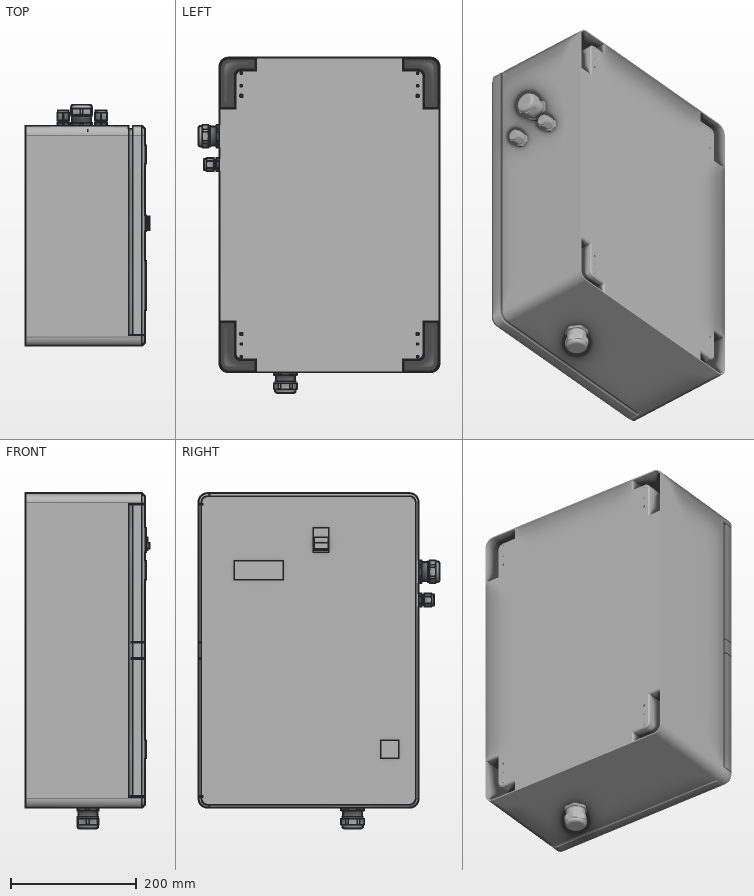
import cadquery as cq
import math

BOX_DEPTH = 190.0
BOX_WIDTH = 350.0
BOX_HEIGHT = 500.0
CORNER_RADIUS = 15.0
LID_CHAMFER = 5.0
HALF_WIDTH = BOX_WIDTH / 2
HALF_HEIGHT = BOX_HEIGHT / 2

GROOVE_START = 164.0
GROOVE_WIDTH = 6.0
GROOVE_DEPTH = 5.0
LID_START = GROOVE_START + GROOVE_WIDTH
HINGE_COLUMN = 17.0
SLIT_WIDTH = 2.0
END_SLIT_WIDTH = 1.0
SLIT_DEPTH = 7.0
HINGE_TAB_HEIGHT = 26.0
SHORT_SLIT_START = LID_START - 2.0
SHORT_SLIT_END = BOX_DEPTH - 3.0

POCKET_DEPTH = 99.0
POCKET_Y_REACH = 57.0
POCKET_Z_REACH = 79.5
POCKET_Y_LEG = 24.5
POCKET_Z_LEG = 19.0
POCKET_INNER_RADIUS = 10.0
POCKET_WALL = 1.9
HINGE_SIDE_WALL = 2.5
MOUTH_CHAMFER = 1.8
MOUTH_ANGLE = 45.0

HOLE_Y_INSET = 35.0
BACK_HOLES = [(25.0, 3.0), (45.0, 3.0), (61.0, 4.5)]
BACK_HOLE_DEPTH = 10.0

LARGE_GLAND_LENGTH = 33.25
BOTTOM_GLAND_LENGTH = 33.05
LARGE_GLAND_X = 89.0
LARGE_GLAND_Z = 125.0
BOTTOM_GLAND_X = 99.0
BOTTOM_GLAND_Y = 70.0
SMALL_GLAND_LENGTH = 24.5
SMALL_GLAND_SPACING = 60.0
SMALL_GLAND_X = 90.0
SMALL_GLAND_Z = 80.0
NUT_CHAMFER_SLOPE = 0.4
GLAND_ROOT = 1.0

PLATE_THICKNESS = 1.9
LONG_PLATE = (-79.0, 127.5, 78.0, 30.0)
SMALL_PLATE = (129.0, -157.0, 29.0, 29.0)
LATCH_BASE = (20.0, 175.5, 25.0, 39.0)
LATCH_WIDTH = 22.0
LATCH_TOP_Z = 180.0
LATCH_BOTTOM_Z = 159.0
LATCH_GRIP_TOP_Z = 171.0
LATCH_GRIP_BOTTOM_Z = 161.5
LATCH_STEP = 4.0
LATCH_RISE = 7.04


def block(x_range, y_range, z_range):
    """Axis-aligned block between three pairs of limits."""
    (x0, x1), (y0, y1), (z0, z1) = x_range, y_range, z_range
    return cq.Workplane("XY").box(x1 - x0, y1 - y0, z1 - z0, centered=False).translate((x0, y0, z0))


def enclosure():
    """Rounded box with a chamfered lid face."""
    box = cq.Workplane("YZ").rect(BOX_WIDTH, BOX_HEIGHT).extrude(BOX_DEPTH)
    return box.edges("|X").fillet(CORNER_RADIUS).faces(">X").edges().chamfer(LID_CHAMFER)


def lid_groove():
    """Groove around the box that leaves the two -Y corners solid."""
    groove = cq.Workplane("YZ", origin=(GROOVE_START, 0, 0)).rect(BOX_WIDTH, BOX_HEIGHT).extrude(GROOVE_WIDTH)
    core = (
        cq.Workplane("YZ", origin=(GROOVE_START, 0, 0))
        .rect(BOX_WIDTH - 2 * GROOVE_DEPTH, BOX_HEIGHT - 2 * GROOVE_DEPTH)
        .extrude(GROOVE_WIDTH)
        .edges("|X")
        .fillet(CORNER_RADIUS - GROOVE_DEPTH)
    )
    groove = groove.cut(core)
    for end in (-1, 1):
        z_limits = sorted((end * (HALF_HEIGHT - HINGE_COLUMN), end * HALF_HEIGHT))
        column = block((GROOVE_START, LID_START), (-HALF_WIDTH, HINGE_COLUMN - HALF_WIDTH), z_limits)
        groove = groove.cut(column)
    return groove


def hinge_slits():
    """Slits freeing the lid from the two sides of each hinge column, and the mid-height hinge tab."""
    y_limits = (-HALF_WIDTH, SLIT_DEPTH - HALF_WIDTH)
    short_slit = (SHORT_SLIT_START, SHORT_SLIT_END)
    column_y = HINGE_COLUMN - HALF_WIDTH
    slits = cq.Workplane("XY")
    for end in (-1, 1):
        column_z = end * (HALF_HEIGHT - HINGE_COLUMN)
        z_limits = sorted((column_z, column_z - end * SLIT_WIDTH))
        slits = slits.add(block((GROOVE_START, BOX_DEPTH), y_limits, z_limits))
        end_limits = sorted((end * HALF_HEIGHT, end * (HALF_HEIGHT - SLIT_DEPTH)))
        slits = slits.add(block(short_slit, (column_y, column_y + END_SLIT_WIDTH), end_limits))
        tab_z = end * HINGE_TAB_HEIGHT / 2
        tab_limits = (tab_z - SLIT_WIDTH / 2, tab_z + SLIT_WIDTH / 2)
        slits = slits.add(block(short_slit, y_limits, tab_limits))
    return slits.combine()


def pocket_layer(wall, widening, depth, taper):
    """L-shaped prism at the +Y +Z corner: inner sides moved by a widening, all sides tapered."""
    outer_y = HALF_WIDTH - wall
    outer_z = HALF_HEIGHT - POCKET_WALL
    inner_y = HALF_WIDTH - POCKET_Y_LEG - widening
    inner_z = HALF_HEIGHT - POCKET_Z_LEG - widening
    reach_y = HALF_WIDTH - POCKET_Y_REACH - widening
    reach_z = HALF_HEIGHT - POCKET_Z_REACH - widening
    outer_radius = CORNER_RADIUS - wall
    inner_radius = POCKET_INNER_RADIUS - widening
    return (
        cq.Workplane("YZ")
        .moveTo(reach_y, outer_z)
        .lineTo(outer_y - outer_radius, outer_z)
        .radiusArc((outer_y, outer_z - outer_radius), outer_radius)
        .lineTo(outer_y, reach_z)
        .lineTo(inner_y, reach_z)
        .lineTo(inner_y, inner_z - inner_radius)
        .radiusArc((inner_y - inner_radius, inner_z), -inner_radius)
        .lineTo(reach_y, inner_z)
        .close()
        .extrude(depth, taper=taper)
    )


def corner_pocket(side, end):
    """Pocket with a chamfered mouth in one back corner; side and end are the signs of Y and Z."""
    wall = POCKET_WALL if side > 0 else HINGE_SIDE_WALL
    mouth = pocket_layer(wall, MOUTH_CHAMFER, MOUTH_CHAMFER, MOUTH_ANGLE)
    pocket = pocket_layer(wall, 0, POCKET_DEPTH, 0).union(mouth)
    if side < 0:
        pocket = pocket.mirror("XZ")
    if end < 0:
        pocket = pocket.mirror("XY")
    return pocket


def back_holes(side, end):
    """Row of small blind holes beside one corner pocket."""
    holes = cq.Workplane("YZ")
    for end_distance, diameter in BACK_HOLES:
        centre = (side * (HALF_WIDTH - HOLE_Y_INSET), end * (HALF_HEIGHT - end_distance))
        hole = cq.Workplane("YZ").center(*centre).circle(diameter / 2).extrude(BACK_HOLE_DEPTH)
        holes = holes.add(hole)
    return holes.combine()


def hex_nut(across_flats, across_corners, start, end):
    """Hexagon along +Z with a corner on X, its corners cut to a diameter and chamfered at both ends."""
    height = end - start
    hexagon = cq.Workplane("XY", origin=(0, 0, start)).polygon(6, across_flats / math.cos(math.pi / 6))
    blank = cq.Workplane("XY", origin=(0, 0, start)).circle(across_corners / 2).extrude(height)
    chamfer_width = (across_corners - across_flats) / 2
    chamfer_height = chamfer_width * NUT_CHAMFER_SLOPE
    blank = blank.edges("%CIRCLE").chamfer(chamfer_height, chamfer_width)
    return hexagon.extrude(height).intersect(blank)


def gland(length, flats, corners, neck, collar, cap, flange_end, neck_end, nut_start, nut_end, rounding):
    """Cable gland along +Z: hex flange, neck, collar, hex cap nut and rounded cap."""
    body = hex_nut(flats, corners, -GLAND_ROOT, flange_end)
    body = body.union(cq.Workplane("XY").circle(neck / 2).extrude(nut_start))
    collar_part = cq.Workplane("XY", origin=(0, 0, neck_end)).circle(collar / 2).extrude(nut_end - neck_end)
    body = body.union(collar_part)
    body = body.union(hex_nut(flats, corners, nut_start, nut_end))
    cap_part = cq.Workplane("XY", origin=(0, 0, nut_start)).circle(cap / 2).extrude(length - nut_start)
    return body.union(cap_part.faces(">Z").edges().fillet(rounding))


def large_gland(length):
    """Large cable gland of the given length along +Z."""
    return gland(
        length,
        flats=34.0,
        corners=37.0,
        neck=31.0,
        collar=33.0,
        cap=33.5,
        flange_end=4.6,
        neck_end=14.5,
        nut_start=17.0,
        nut_end=27.0,
        rounding=4.5,
    )


def small_gland():
    """Small cable gland along +Z."""
    return gland(
        SMALL_GLAND_LENGTH,
        flats=19.2,
        corners=21.5,
        neck=15.0,
        collar=16.5,
        cap=18.0,
        flange_end=5.0,
        neck_end=7.0,
        nut_start=8.5,
        nut_end=20.5,
        rounding=1.0,
    )


def onto_side(part, x, z):
    """Stand a +Z gland on the +Y side, a hexagon corner facing up."""
    return part.rotate((0, 0, 0), (0, 0, 1), 90).rotate((0, 0, 0), (1, 0, 0), -90).translate((x, HALF_WIDTH, z))


def glands():
    """All cable glands: three on the +Y side and one on the bottom."""
    parts = [onto_side(large_gland(LARGE_GLAND_LENGTH), LARGE_GLAND_X, LARGE_GLAND_Z)]
    for offset in (-SMALL_GLAND_SPACING / 2, SMALL_GLAND_SPACING / 2):
        parts.append(onto_side(small_gland(), SMALL_GLAND_X + offset, SMALL_GLAND_Z))
    bottom = large_gland(BOTTOM_GLAND_LENGTH).rotate((0, 0, 0), (0, 0, 1), 90)
    bottom = bottom.rotate((0, 0, 0), (1, 0, 0), 180)
    parts.append(bottom.translate((BOTTOM_GLAND_X, BOTTOM_GLAND_Y, -HALF_HEIGHT)))
    return parts


def lid_plate(centre_y, centre_z, width, height):
    """Thin rectangular plate on the lid face."""
    return cq.Workplane("YZ", origin=(BOX_DEPTH, centre_y, centre_z)).rect(width, height).extrude(PLATE_THICKNESS)


def latch():
    """Stepped latch body with a raised grip, standing on its base plate."""
    centre_y = LATCH_BASE[0]
    y_limits = (centre_y - LATCH_WIDTH / 2, centre_y + LATCH_WIDTH / 2)
    body = block((BOX_DEPTH, BOX_DEPTH + LATCH_STEP), y_limits, (LATCH_BOTTOM_Z, LATCH_TOP_Z))
    grip_z = (LATCH_GRIP_BOTTOM_Z, LATCH_GRIP_TOP_Z)
    grip = block((BOX_DEPTH, BOX_DEPTH + LATCH_RISE), y_limits, grip_z)
    return lid_plate(*LATCH_BASE).union(body).union(grip)


result = enclosure().cut(lid_groove()).cut(hinge_slits())
for y_side in (-1, 1):
    for z_end in (-1, 1):
        result = result.cut(corner_pocket(y_side, z_end))
        result = result.cut(back_holes(y_side, z_end))
for cable_gland in glands():
    result = result.union(cable_gland)
for plate in (LONG_PLATE, SMALL_PLATE):
    result = result.union(lid_plate(*plate))
result = result.union(latch())